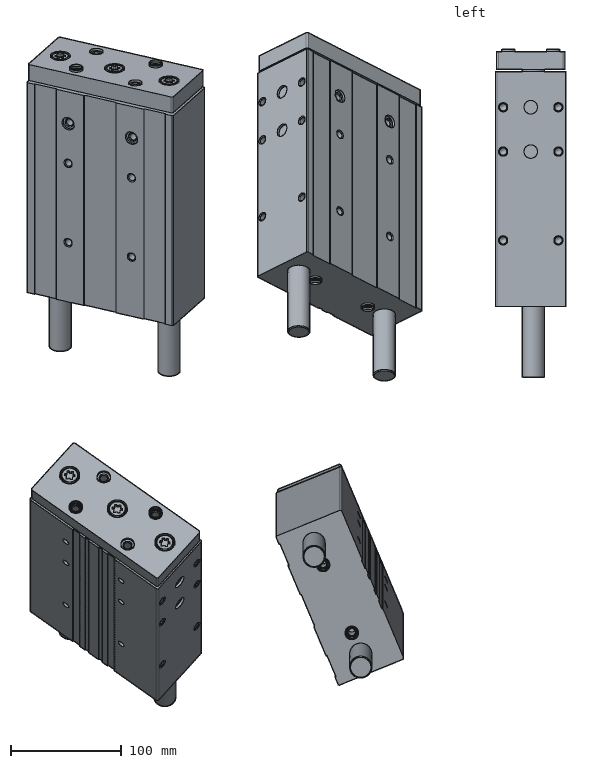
import cadquery as cq
import math


rod_overhang = 64.0
housing_height = 211.8
plate_gap = 2.0
plate_thickness = 16.0
housing_bottom = rod_overhang
housing_top = housing_bottom + housing_height
plate_bottom = housing_top + plate_gap
plate_top = plate_bottom + plate_thickness

housing_width = 148
housing_depth = 64.0
front_y = -housing_depth / 2
back_y = housing_depth / 2
back_corner_radius = 1.8
front_corner_chamfer = 1.0
groove_depth = 1.0
front_groove_inner = 44.5
front_groove_outer = 66.0
center_groove_half_width = 16.3
center_groove_slope_width = 0.5
back_grooves = [(5.5, 9.8), (16.3, 24.0)]

rod_spacing = 110.0
rod_y = -2.5
guide_rod_diameter = 20.0
guide_rod_chamfer = 1.0
piston_rod_diameter = 14.8
piston_rod_insertion = housing_height / 2

thread_diameter = 6.5
thread_mouth_diameter = 8.3
thread_chamfer = (thread_mouth_diameter - thread_diameter) / 2
mounting_row_depths = [32.0, 72.0, 152.0]
mounting_rows = [housing_top - depth for depth in mounting_row_depths]
front_hole_x = 32.0
side_hole_y = 25.0
side_hole_depth = 17.8
drill_point_angle = 118
port_diameter = 12.0
port_depth = 2.5
port_rows = mounting_rows[:2]

sleeve_diameter = 12.0
sleeve_bore = 10.5
sleeve_protrusion = 2.5
sleeve_seat_depth = 2.5
sleeve_height = sleeve_protrusion + sleeve_seat_depth
sleeve_chamfer = 0.5
bottom_sleeve_x = 33.8
bottom_thread_depth = 17.8

plate_width = 146.5
plate_depth = 62.0
plate_corner_radius = 1.8
plate_hole_x = 30.0
plate_hole_y = 20.0
screw_head_diameter = 16.0
screw_head_chamfer = 1.0
screw_recess_diameter = 18.0
screw_recess_depth = 6
screw_socket_outer_radius = 4.7
screw_socket_inner_radius = 3.3
screw_socket_depth = 3
screw_socket_lobes = 6

guide_rod_points = [(-rod_spacing / 2, rod_y), (rod_spacing / 2, rod_y)]
piston_rod_point = (0, rod_y)
plate_hole_points = [(sx * plate_hole_x, sy * plate_hole_y) for sx in (-1, 1) for sy in (-1, 1)]
plate_sleeve_points = [(plate_hole_x, plate_hole_y), (-plate_hole_x, -plate_hole_y)]
bottom_sleeve_points = [(-bottom_sleeve_x, rod_y), (bottom_sleeve_x, rod_y)]


def cylinder(diameter, height, base, direction):
    """Solid cylinder that starts at a base point and runs along a direction."""
    solid = cq.Solid.makeCylinder(diameter / 2, height, cq.Vector(*base), cq.Vector(*direction))
    return cq.Workplane(solid)


def cone(start_diameter, end_diameter, height, base, direction):
    """Solid cone that tapers from a base point along a direction."""
    axis_start = cq.Vector(*base)
    axis = cq.Vector(*direction)
    return cq.Workplane(cq.Solid.makeCone(start_diameter / 2, end_diameter / 2, height, axis_start, axis))


def threaded_hole(mouth, direction, depth):
    """Cutter for a plain hole with a chamfered mouth."""
    hole = cylinder(thread_diameter, depth, mouth, direction)
    return hole.union(cone(thread_mouth_diameter, thread_diameter, thread_chamfer, mouth, direction))


def groove(x_min, x_max, face_y, inward):
    """Cutter for a straight-sided full-height groove in the front or back face."""
    y_min = min(face_y, face_y + inward * groove_depth)
    box = cq.Workplane().box(x_max - x_min, groove_depth, housing_height, centered=False)
    return box.translate((x_min, y_min, housing_bottom))


def cut_groove_pair(block, inner, outer, face_y, inward):
    """Cut two grooves mirrored about the centre line, from inner to outer distance."""
    block = block.cut(groove(inner, outer, face_y, inward))
    return block.cut(groove(-outer, -inner, face_y, inward))


def center_groove():
    """Cutter for the sloped-sided groove in the middle of the front face."""
    floor_half_width = center_groove_half_width - center_groove_slope_width
    return (
        cq.Workplane()
        .workplane(offset=housing_bottom)
        .polyline([
            (-center_groove_half_width, front_y),
            (center_groove_half_width, front_y),
            (floor_half_width, front_y + groove_depth),
            (-floor_half_width, front_y + groove_depth),
        ])
        .close()
        .extrude(housing_height)
    )


def make_housing_profile():
    """Extruded block with its rounded back corners, chamfered front corners and grooves."""
    block = (
        cq.Workplane()
        .box(housing_width, housing_depth, housing_height, centered=(True, True, False))
        .translate((0, 0, housing_bottom))
    )
    block = block.edges("|Z and >Y").fillet(back_corner_radius)
    block = block.edges("|Z and <Y").chamfer(front_corner_chamfer)
    block = block.cut(center_groove())
    block = cut_groove_pair(block, front_groove_inner, front_groove_outer, front_y, 1)
    for inner, outer in back_grooves:
        block = cut_groove_pair(block, inner, outer, back_y, -1)
    return block


def cut_front_holes(body):
    """Mounting holes through the depth; the top row is counterbored for sleeves."""
    for x in (-front_hole_x, front_hole_x):
        for z in mounting_rows:
            mouth_y = front_y
            if z == mounting_rows[0]:
                body = body.cut(cylinder(sleeve_diameter, sleeve_seat_depth, (x, front_y, z), (0, 1, 0)))
                mouth_y += sleeve_seat_depth
            body = body.cut(threaded_hole((x, mouth_y, z), (0, 1, 0), housing_depth))
    return body


def cut_side_holes(body):
    """Blind threaded holes with drill points, and two shallow ports, in the left side."""
    left_x = -housing_width / 2
    point_height = thread_diameter / 2 / math.tan(math.radians(drill_point_angle / 2))
    for z in mounting_rows:
        for y in (-side_hole_y, side_hole_y):
            body = body.cut(threaded_hole((left_x, y, z), (1, 0, 0), side_hole_depth))
            point_base = (left_x + side_hole_depth, y, z)
            body = body.cut(cone(thread_diameter, 0, point_height, point_base, (1, 0, 0)))
    for z in port_rows:
        body = body.cut(cylinder(port_diameter, port_depth, (left_x, 0, z), (1, 0, 0)))
    return body


def cut_rod_bores(body):
    """Through bores for the guide rods and a blind bore for the piston rod."""
    for x, y in guide_rod_points:
        body = body.cut(cylinder(guide_rod_diameter, housing_height, (x, y, housing_bottom), (0, 0, 1)))
    piston_mouth = (*piston_rod_point, housing_top)
    return body.cut(cylinder(piston_rod_diameter, piston_rod_insertion, piston_mouth, (0, 0, -1)))


def cut_bottom_sleeve_seats(body):
    """Sleeve seats with threaded holes in the underside."""
    for x, y in bottom_sleeve_points:
        body = body.cut(cylinder(sleeve_diameter, sleeve_seat_depth, (x, y, housing_bottom), (0, 0, 1)))
        mouth = (x, y, housing_bottom + sleeve_seat_depth)
        body = body.cut(threaded_hole(mouth, (0, 0, 1), bottom_thread_depth))
    return body


def make_housing():
    housing = make_housing_profile()
    housing = cut_front_holes(housing)
    housing = cut_side_holes(housing)
    housing = cut_rod_bores(housing)
    return cut_bottom_sleeve_seats(housing)


def screw_socket():
    """Cutter for the six-lobed socket of a screw head, open at the plate top."""
    middle_radius = (screw_socket_outer_radius + screw_socket_inner_radius) / 2
    lobe_angle = 2 * math.pi / screw_socket_lobes
    first_angle = math.pi / 2 - lobe_angle / 4

    def point(radius, angle):
        return radius * math.cos(angle), radius * math.sin(angle)

    outline = cq.Workplane().workplane(offset=plate_top).moveTo(*point(middle_radius, first_angle))
    for i in range(screw_socket_lobes):
        start = first_angle + i * lobe_angle
        lobe_tip = point(screw_socket_outer_radius, start + lobe_angle / 4)
        lobe_end = point(middle_radius, start + lobe_angle / 2)
        valley = point(screw_socket_inner_radius, start + 3 * lobe_angle / 4)
        valley_end = point(middle_radius, start + lobe_angle)
        outline = outline.threePointArc(lobe_tip, lobe_end).threePointArc(valley, valley_end)
    return outline.close().extrude(-screw_socket_depth)


def screw_outline():
    """Cutter that leaves a sunk screw head: a ring recess around a chamfered, socketed head."""
    recess = cylinder(screw_recess_diameter, screw_recess_depth, (0, 0, plate_top), (0, 0, -1))
    head = cylinder(screw_head_diameter, screw_recess_depth, (0, 0, plate_top), (0, 0, -1))
    head = head.faces(">Z").chamfer(screw_head_chamfer)
    return recess.cut(head).union(screw_socket())


def make_plate():
    """Moving plate with the piston rod, sunk screw heads and sleeve seats."""
    plate = (
        cq.Workplane()
        .box(plate_width, plate_depth, plate_thickness, centered=(True, True, False))
        .translate((0, 0, plate_bottom))
    )
    plate = plate.edges("|Z").fillet(plate_corner_radius)

    piston_rod_length = plate_gap + piston_rod_insertion
    plate = plate.union(
        cylinder(piston_rod_diameter, piston_rod_length, (*piston_rod_point, plate_bottom), (0, 0, -1))
    )

    for x, y in guide_rod_points + [piston_rod_point]:
        plate = plate.cut(screw_outline().translate((x, y, 0)))

    thread_length = plate_thickness - sleeve_seat_depth
    for x, y in plate_hole_points:
        plate = plate.cut(cylinder(sleeve_diameter, sleeve_seat_depth, (x, y, plate_top), (0, 0, -1)))
        mouth = (x, y, plate_top - sleeve_seat_depth)
        plate = plate.cut(threaded_hole(mouth, (0, 0, -1), thread_length))
    return plate


def make_guide_rod(x, y):
    """Guide rod from the plate underside down through the housing."""
    rod = cylinder(guide_rod_diameter, plate_bottom, (x, y, 0), (0, 0, 1))
    return rod.faces("<Z").chamfer(guide_rod_chamfer)


def make_sleeve(x, y, z):
    """Centring sleeve with chamfered outer rims, standing on height z."""
    sleeve = cylinder(sleeve_diameter, sleeve_height, (x, y, z), (0, 0, 1))
    sleeve = sleeve.faces("<Z or >Z").chamfer(sleeve_chamfer)
    return sleeve.cut(cylinder(sleeve_bore, sleeve_height, (x, y, z), (0, 0, 1)))


housing = make_housing()
plate = make_plate()
guide_rods = [make_guide_rod(x, y) for x, y in guide_rod_points]
plate_sleeves = [make_sleeve(x, y, plate_top - sleeve_seat_depth) for x, y in plate_sleeve_points]
bottom_sleeves = [make_sleeve(x, y, housing_bottom - sleeve_protrusion) for x, y in bottom_sleeve_points]

bodies = [housing, plate, *guide_rods, *plate_sleeves, *bottom_sleeves]
result = cq.Compound.makeCompound([body.val() for body in bodies])